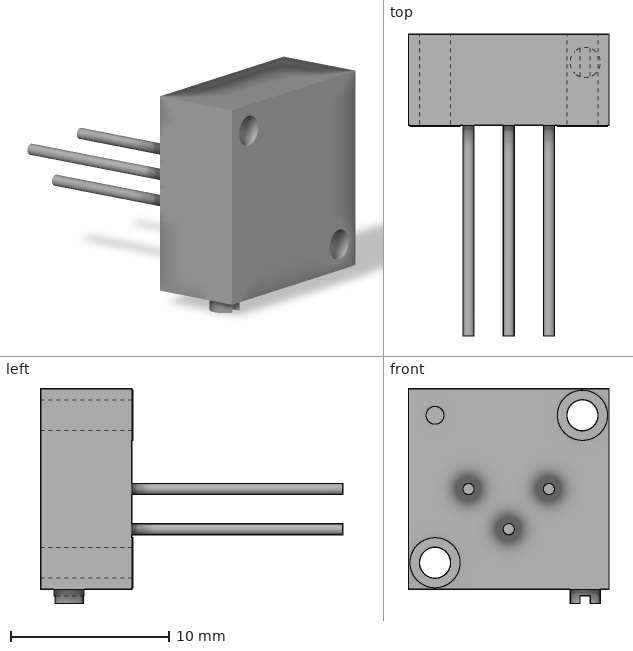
import cadquery as cq

overall_depth = 19.1
body_side = 12.7
body_depth = 5.77
overall_height = 13.6

pin_diameter = 0.7
pin_pitch = 2.54
pin_length = overall_depth - body_depth
pin_places = [(-pin_pitch, 0), (pin_pitch, 0), (0, -pin_pitch)]

corner_offset = 4.66
pad_diameter = 3.17
hole_diameter = 1.95
marker_diameter = 1.13
raised_height = 0.08
hole_places = [(corner_offset, corner_offset), (-corner_offset, -corner_offset)]
marker_places = [(-corner_offset, corner_offset)]

screw_diameter = 1.91
screw_height = overall_height - body_side
screw_x = 4.83
screw_from_back = 1.8
screw_slot_width = 0.63
screw_slot_depth = 0.5

bottom_z = -body_side / 2
screw_y = body_depth - screw_from_back


def front_cylinders(places, diameter, length):
    """Cylinders standing on the front face at (x, z) places; negative length goes into the body."""
    return cq.Workplane("XZ").pushPoints(places).circle(diameter / 2).extrude(length)


def make_body():
    return cq.Workplane("XZ").rect(body_side, body_side).extrude(-body_depth)


def make_screw():
    """Screw head hanging below the body, with a driver slot running along Y."""
    head = (
        cq.Workplane("XY", origin=(screw_x, screw_y, bottom_z))
        .circle(screw_diameter / 2)
        .extrude(-screw_height)
    )
    slot = (
        cq.Workplane("XY", origin=(screw_x, screw_y, bottom_z - screw_height))
        .rect(screw_slot_width, screw_diameter)
        .extrude(screw_slot_depth)
    )
    return head.cut(slot)


def make_mounting_holes():
    """Through holes running from the pad faces to the back of the body."""
    through_body = front_cylinders(hole_places, hole_diameter, -body_depth)
    through_pads = front_cylinders(hole_places, hole_diameter, raised_height)
    return through_body.union(through_pads)


result = (
    make_body()
    .union(front_cylinders(hole_places, pad_diameter, raised_height))
    .union(front_cylinders(marker_places, marker_diameter, raised_height))
    .union(front_cylinders(pin_places, pin_diameter, pin_length))
    .union(make_screw())
    .cut(make_mounting_holes())
)